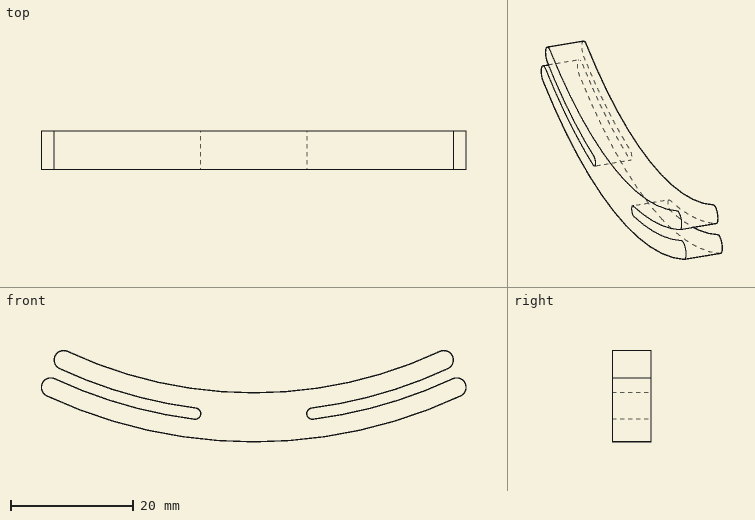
import cadquery as cq
import math

overall_length = 69.6
width = 6.3
outer_radius = 80.0
arm_thickness = 3.1
slot_width = 1.8
slot_tip_x = 8.7

slot_outer_radius = outer_radius - arm_thickness
slot_inner_radius = slot_outer_radius - slot_width
inner_radius = slot_inner_radius - arm_thickness
slot_mid_radius = slot_inner_radius + slot_width / 2
lower_arm_mid_radius = outer_radius - arm_thickness / 2

arm_angle = math.asin((overall_length / 2 - arm_thickness / 2) / lower_arm_mid_radius)
slot_angle = math.asin((slot_tip_x + slot_width / 2) / slot_mid_radius)


def polar(radius, angle):
    """Point on an arc, with the lowest point of the bar at Z = 0."""
    return radius * math.sin(angle), outer_radius - radius * math.cos(angle)


def end_cap_tip(small_radius, large_radius, angle, direction):
    """Middle of the semicircle joining two concentric arcs, offset along their tangent."""
    cap_radius = (large_radius - small_radius) / 2
    x, z = polar(small_radius + cap_radius, angle)
    return (
        x + direction * cap_radius * math.cos(angle),
        z + direction * cap_radius * math.sin(angle),
    )


def curved_bar(small_radius, large_radius, half_angle, end_direction):
    """Symmetric arc-shaped bar; its round ends bulge out (1) or are hollowed in (-1)."""
    return (
        cq.Workplane("XZ")
        .moveTo(*polar(large_radius, -half_angle))
        .threePointArc(polar(large_radius, 0), polar(large_radius, half_angle))
        .threePointArc(
            end_cap_tip(small_radius, large_radius, half_angle, end_direction),
            polar(small_radius, half_angle),
        )
        .threePointArc(polar(small_radius, 0), polar(small_radius, -half_angle))
        .threePointArc(
            end_cap_tip(small_radius, large_radius, -half_angle, -end_direction),
            polar(large_radius, -half_angle),
        )
        .close()
        .extrude(width / 2, both=True)
    )


upper_arm = curved_bar(inner_radius, slot_inner_radius, arm_angle, 1)
lower_arm = curved_bar(slot_outer_radius, outer_radius, arm_angle, 1)

web = curved_bar(slot_inner_radius, slot_outer_radius, slot_angle, -1)

result = upper_arm.union(lower_arm).union(web)